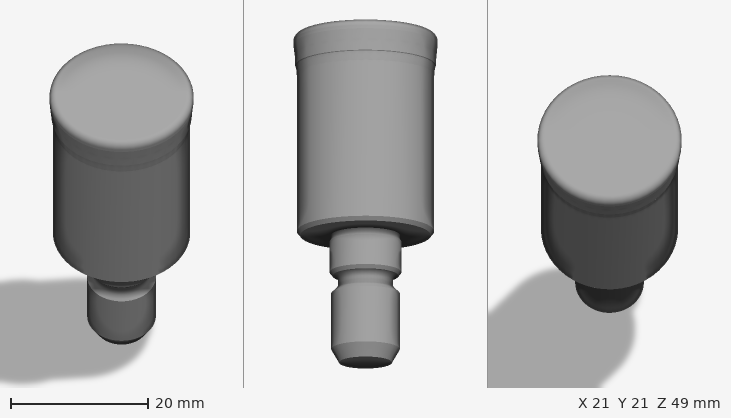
import cadquery as cq
import math

tip_chamfer_height = 2.0
pin_top_z = 10.3
groove_floor_bottom_z = 11.6
groove_floor_top_z = 12.15
collar_bottom_z = 13.5
collar_top_z = 18.0
body_bottom_z = 19.0
cap_taper_bottom_z = 42.9
cap_step_z = 44.25
cap_step_height = 0.1
cap_rim_bottom_z = 47.5
total_height = 49.0

pin_radius = 5.0
groove_radius = 4.0
collar_radius = 5.25
neck_radius = pin_radius
body_radius = 10.0
cap_radius = 10.5

tip_angle = math.radians(30)
groove_angle = math.radians(45)
lead_in_angle = math.radians(30)
cap_taper_angle = math.radians(5)
groove_fillet = 0.8
neck_fillet = 0.55
body_chamfer_height = 0.6
body_chamfer_width = 0.5
cap_fillet = 1.0


def point_on_arc(center, radius, angle):
    """Point (r, z) on an arc, with the angle measured from the +r direction."""
    return (center[0] + radius * math.cos(angle), center[1] + radius * math.sin(angle))


def add_pin(profile):
    """Chamfered tip and straight pin, up to the start of the groove flank."""
    tip_radius = pin_radius - tip_chamfer_height * math.tan(tip_angle)
    return (
        profile.lineTo(tip_radius, 0)
        .lineTo(pin_radius, tip_chamfer_height)
        .lineTo(pin_radius, pin_top_z)
    )


def add_groove(profile):
    """Groove with a sloping lower flank and a rounded upper shoulder."""
    fillet_r = groove_radius + groove_fillet
    lower = (fillet_r, groove_floor_bottom_z)
    upper = (fillet_r, groove_floor_top_z)
    lower_start = point_on_arc(lower, groove_fillet, math.pi + groove_angle)
    lower_middle = point_on_arc(lower, groove_fillet, math.pi + groove_angle / 2)
    upper_middle = point_on_arc(upper, groove_fillet, math.pi * 3 / 4)
    shoulder_z = groove_floor_top_z + groove_fillet
    return (
        profile.lineTo(*lower_start)
        .threePointArc(lower_middle, (groove_radius, groove_floor_bottom_z))
        .lineTo(groove_radius, groove_floor_top_z)
        .threePointArc(upper_middle, (fillet_r, shoulder_z))
    )


def add_collar_and_neck(profile):
    """Collar chamfered below, with a lead-in cone blending into the neck above."""
    fillet_z = collar_top_z + 2 * neck_fillet * math.sin(lead_in_angle)
    center = (neck_radius + neck_fillet, fillet_z)
    cone_top = point_on_arc(center, neck_fillet, math.pi + lead_in_angle)
    arc_middle = point_on_arc(center, neck_fillet, math.pi + lead_in_angle / 2)
    return (
        profile.lineTo(collar_radius, collar_bottom_z)
        .lineTo(collar_radius, collar_top_z)
        .lineTo(*cone_top)
        .threePointArc(arc_middle, (neck_radius, fillet_z))
        .lineTo(neck_radius, body_bottom_z)
    )


def add_body_and_cap(profile):
    """Cylindrical body flaring through two stepped tapers to the rounded cap."""
    slope = math.tan(cap_taper_angle)
    taper_radius = body_radius + (cap_step_z - cap_taper_bottom_z) * slope
    cap_bottom_z = cap_step_z + cap_step_height
    cap_lower_radius = cap_radius - (cap_rim_bottom_z - cap_bottom_z) * slope
    fillet_center = (cap_radius - cap_fillet, total_height - cap_fillet)
    fillet_middle = point_on_arc(fillet_center, cap_fillet, math.pi / 4)
    return (
        profile.lineTo(body_radius - body_chamfer_width, body_bottom_z)
        .lineTo(body_radius, body_bottom_z + body_chamfer_height)
        .lineTo(body_radius, cap_taper_bottom_z)
        .lineTo(taper_radius, cap_step_z)
        .lineTo(cap_lower_radius, cap_bottom_z)
        .lineTo(cap_radius, cap_rim_bottom_z)
        .lineTo(cap_radius, total_height - cap_fillet)
        .threePointArc(fillet_middle, (cap_radius - cap_fillet, total_height))
        .lineTo(0, total_height)
    )


outline = cq.Workplane("XZ").moveTo(0, 0)
outline = add_pin(outline)
outline = add_groove(outline)
outline = add_collar_and_neck(outline)
outline = add_body_and_cap(outline)
result = outline.close().revolve(360, (0, 0, 0), (0, 1, 0))